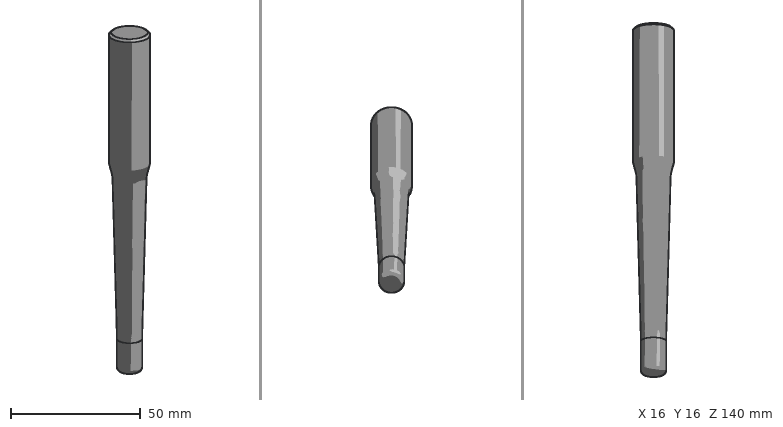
import cadquery as cq
import math

overall_length = 140.0
shank_radius = 8.0
shank_chamfer = 1.0
tip_diameter = 10.0
tip_radius = tip_diameter / 2
tip_length = 13.5
tip_corner_radius = 2.0

taper_angle = math.radians(1.5)
shoulder_angle = math.radians(14.5)
lower_blend_start = 15.1
lower_blend_end = 17.2
upper_blend_start = 80.1
upper_blend_end = 81.8

lower_blend_radius = tip_radius + (lower_blend_end - lower_blend_start) * math.tan(taper_angle / 2)
taper_top_radius = lower_blend_radius + (upper_blend_start - lower_blend_end) * math.tan(taper_angle)
upper_blend_slope = math.tan((taper_angle + shoulder_angle) / 2)
upper_blend_radius = taper_top_radius + (upper_blend_end - upper_blend_start) * upper_blend_slope
shank_start = upper_blend_end + (shank_radius - upper_blend_radius) / math.tan(shoulder_angle)


def make_cutting_tip():
    """Cylindrical tip with a rounded bottom corner."""
    return (
        cq.Workplane("XY")
        .circle(tip_radius)
        .extrude(tip_length)
        .faces("<Z")
        .edges()
        .fillet(tip_corner_radius)
    )


def make_shank():
    """Tapered neck and chamfered shank, revolved about Z above the tip."""
    profile = (
        cq.Workplane("XZ")
        .moveTo(0, tip_length)
        .lineTo(tip_radius, tip_length)
        .lineTo(tip_radius, lower_blend_start)
        .tangentArcPoint((lower_blend_radius, lower_blend_end), relative=False)
        .lineTo(taper_top_radius, upper_blend_start)
        .tangentArcPoint((upper_blend_radius, upper_blend_end), relative=False)
        .lineTo(shank_radius, shank_start)
        .lineTo(shank_radius, overall_length)
        .lineTo(0, overall_length)
        .close()
    )
    body = profile.revolve(360, (0, 0, 0), (0, 1, 0))
    return body.faces(">Z").edges().chamfer(shank_chamfer)


cutting_tip = make_cutting_tip()
shank = make_shank()

result = cq.Compound.makeCompound([cutting_tip.solids().val(), shank.solids().val()])